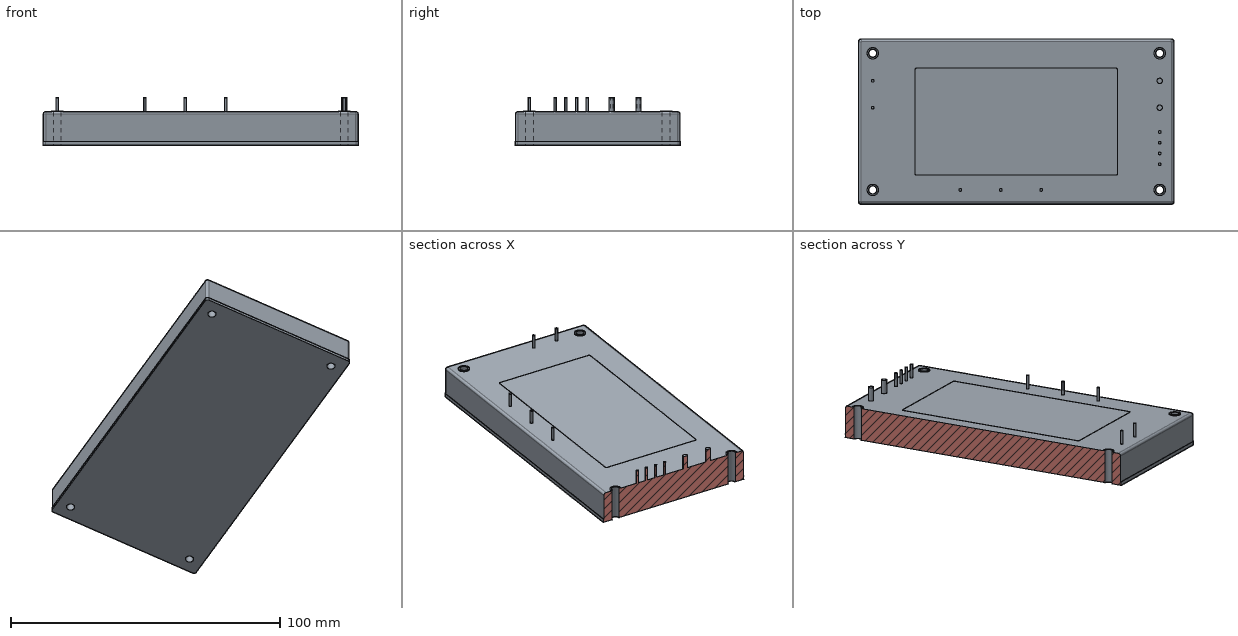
import cadquery as cq

plate_length = 117.3
plate_width = 61.5
plate_thickness = 1.4
corner_radius = 1.0

case_inset = 0.1
case_length = plate_length - 2 * case_inset
case_width = plate_width - 2 * case_inset
case_top = 12.5
top_edge_radius = 0.9

hole_spacing_x = 106.6
hole_spacing_y = 50.8
hole_diameter = 2.9
rim_diameter = 4.2
rim_height = 0.2
rim_top = case_top + rim_height

label_length = 75.2
label_width = 39.6
label_depth = 0.06
label_corner_radius = 0.5

pin_top = 17.7
pin_embed = 0.6
signal_pin_diameter = 1.0
power_pin_diameter = 2.0
pin_column_x = hole_spacing_x / 2
pin_row_y = -hole_spacing_y / 2
back_pin_ys = [5.2, 15.1]

signal_count = 4
signal_pitch = 4.0
first_signal_y = -3.9

row_count = 3
row_pitch = 15.0
first_row_x = -20.8


def rounded_block(length, width, height, radius):
    """Block standing on Z = 0 with rounded vertical edges."""
    block = cq.Workplane("XY").box(length, width, height, centered=(True, True, False))
    return block.edges("|Z").fillet(radius)


def corner_cylinders(diameter):
    """Cylinders at the four hole positions, from Z = 0 to the top of the rims."""
    corners = cq.Workplane("XY").rect(hole_spacing_x, hole_spacing_y, forConstruction=True).vertices()
    return corners.circle(diameter / 2).extrude(rim_top)


def pins(points, diameter):
    """Round pins rooted just inside the case and rising to the common pin height."""
    root = case_top - pin_embed
    plane = cq.Workplane("XY").workplane(offset=root)
    return plane.pushPoints(points).circle(diameter / 2).extrude(pin_top - root)


plate = rounded_block(plate_length, plate_width, plate_thickness, corner_radius)
case = rounded_block(case_length, case_width, case_top, corner_radius)
case = case.faces(">Z").edges().fillet(top_edge_radius)
body = plate.union(case)

label = rounded_block(label_length, label_width, label_depth, label_corner_radius)
body = body.cut(label.translate((0, 0, case_top - label_depth)))

body = body.union(corner_cylinders(rim_diameter))
body = body.cut(corner_cylinders(hole_diameter))

left_points = [(-pin_column_x, y) for y in back_pin_ys]
signal_points = [(pin_column_x, first_signal_y - i * signal_pitch) for i in range(signal_count)]
row_points = [(first_row_x + i * row_pitch, pin_row_y) for i in range(row_count)]
body = body.union(pins(left_points + signal_points + row_points, signal_pin_diameter))

power_points = [(pin_column_x, y) for y in back_pin_ys]
result = body.union(pins(power_points, power_pin_diameter))